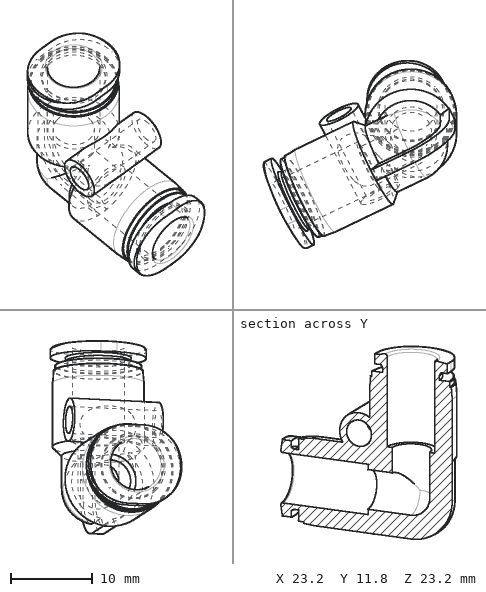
import cadquery as cq

overall = 23.2
body_radius = 11.2 / 2
arm_length = overall - body_radius

shoulder_start = 4.0
body_start = 5.1
taper_start = 13.02
taper_end = 14.5
collar_end = 15.2
neck_flare_start = 15.75
flange_start = 16.1
flange_edge = 17.05
flange_crown = 17.25

elbow_radius = body_radius - (body_start - shoulder_start)
taper_end_radius = 5.48
collar_radius = 10.6 / 2
collar_bevel_radial = 0.12
collar_bevel_axial = 0.07
neck_radius = 7.75 / 2
neck_flare_radius = 4.04
flange_crown_radius = 5.7

flange_length = 11.8
flange_width = 9.8

tube_radius = 6.35 / 2
tube_stop = 5.8
mouth_round = 0.3
mouth_radius = tube_radius + mouth_round
passage_radius = 5.0 / 2

web_width = 1.5
lug_center = 7.0
lug_diameter = 5.3
lug_hole_diameter = 3.3
lug_length = 2 * body_radius


def toward_x(vertical_arm):
    """Mirror geometry across the plane X = Z, which carries the Z arm onto the X arm."""
    return vertical_arm.rotate((0, 0, 0), (1, 0, 1), 180).mirror("XZ")


def revolve_about_z(profile):
    return profile.close().revolve(360, (0, 0, 0), (0, 1, 0))


def make_body():
    return revolve_about_z(
        cq.Workplane("XZ")
        .lineTo(elbow_radius, 0)
        .lineTo(elbow_radius, shoulder_start)
        .lineTo(body_radius, body_start)
        .lineTo(body_radius, taper_start)
        .lineTo(taper_end_radius, taper_end)
        .lineTo(collar_radius, taper_end)
        .lineTo(collar_radius, collar_end - collar_bevel_axial)
        .lineTo(collar_radius - collar_bevel_radial, collar_end)
        .lineTo(neck_radius, collar_end)
        .lineTo(neck_radius, neck_flare_start)
        .lineTo(neck_flare_radius, flange_start)
        .lineTo(0, flange_start)
    )


def make_flange():
    """Slot-shaped plate trimmed by a shallow conical crown and a steeper rim."""
    plate = (
        cq.Workplane("XY", origin=(0, 0, flange_start))
        .slot2D(flange_length, flange_width, 90)
        .extrude(arm_length - flange_start)
    )
    crown = revolve_about_z(
        cq.Workplane("XZ")
        .lineTo(flange_length / 2, 0)
        .lineTo(flange_length / 2, flange_edge)
        .lineTo(flange_crown_radius, flange_crown)
        .lineTo(mouth_radius, arm_length)
        .lineTo(0, arm_length)
    )
    return plate.intersect(crown)


def make_bore():
    """Tube socket with a rounded mouth, and the narrower passage to the bend."""
    return revolve_about_z(
        cq.Workplane("XZ")
        .lineTo(passage_radius, 0)
        .lineTo(passage_radius, tube_stop)
        .lineTo(tube_radius, tube_stop)
        .lineTo(tube_radius, arm_length - mouth_round)
        .radiusArc((mouth_radius, arm_length), mouth_round)
        .lineTo(0, arm_length)
    )


def make_web():
    """Flat web that follows the outside of the bend."""
    outline = (
        cq.Workplane("XZ")
        .moveTo(-body_radius, body_start)
        .lineTo(-body_radius, 0)
        .radiusArc((0, -body_radius), -body_radius)
        .lineTo(body_start, -body_radius)
        .lineTo(body_start, 0)
        .lineTo(0, body_start)
        .close()
    )
    return outline.extrude(web_width / 2, both=True)


def make_lug(diameter):
    return (
        cq.Workplane("XZ")
        .center(lug_center, lug_center)
        .circle(diameter / 2)
        .extrude(lug_length / 2, both=True)
    )


arm = make_body().union(make_flange())
bore = make_bore()

result = (
    arm.union(toward_x(arm))
    .union(cq.Workplane("XY").sphere(elbow_radius))
    .union(make_web())
    .union(make_lug(lug_diameter))
    .cut(bore)
    .cut(toward_x(bore))
    .cut(cq.Workplane("XY").sphere(passage_radius))
    .cut(make_lug(lug_hole_diameter))
)